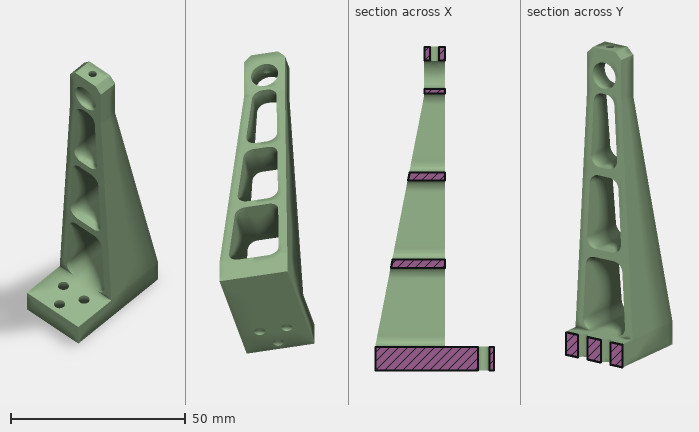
import cadquery as cq

foot_width = 20.0
foot_length = 34.0
foot_height = 7.0

total_height = 93.0
upright_depth = 20.0
head_width = 12.0
head_depth = 6.0
head_bottom = 78.7
back_slope_top = 78.4
head_chamfer = 2.0
foot_front = upright_depth - foot_length

window_count = 3
window_height = 22.5
rib_thickness = 2.5
side_wall = 2.5
window_corner_radius = 3.0

bore_diameter = 8.0
bore_height = total_height - bore_diameter
set_screw_diameter = 2.4
mount_diameter = 3.2
mount_half_spacing = 4.0
front_mount_inset = 3.0
rear_mount_inset = 9.0


def half_width(z):
    """Half width of the tapering upright at height z."""
    taper = (foot_width - head_width) / 2 / (head_bottom - foot_height)
    return foot_width / 2 - taper * (z - foot_height)


def make_foot():
    return cq.Workplane("XY").box(
        foot_width, foot_length, foot_height, centered=(True, False, False)
    ).translate((0, foot_front, 0))


def make_upright():
    """Intersect the tapered front outline with the sloping side outline."""
    half_head = head_width / 2
    front_outline = (
        cq.Workplane("XZ")
        .moveTo(-foot_width / 2, foot_height)
        .lineTo(foot_width / 2, foot_height)
        .lineTo(half_head, head_bottom)
        .lineTo(half_head, total_height - head_chamfer)
        .lineTo(half_head - head_chamfer, total_height)
        .lineTo(head_chamfer - half_head, total_height)
        .lineTo(-half_head, total_height - head_chamfer)
        .lineTo(-half_head, head_bottom)
        .close()
        .extrude(-upright_depth)
    )
    side_outline = (
        cq.Workplane("YZ")
        .moveTo(0, foot_height)
        .lineTo(upright_depth, foot_height)
        .lineTo(head_depth, back_slope_top)
        .lineTo(head_depth, total_height)
        .lineTo(0, total_height)
        .close()
        .extrude(foot_width / 2, both=True)
    )
    return front_outline.intersect(side_outline)


def make_window(bottom):
    """Rounded trapezoid cutter whose sides follow the upright taper."""
    top = bottom + window_height
    half_bottom = half_width(bottom) - side_wall
    half_top = half_width(top) - side_wall
    return (
        cq.Workplane("XZ")
        .polyline([(-half_bottom, bottom), (half_bottom, bottom), (half_top, top), (-half_top, top)])
        .close()
        .extrude(-upright_depth)
        .edges("|Y")
        .fillet(window_corner_radius)
    )


result = make_foot().union(make_upright())

for index in range(window_count):
    result = result.cut(make_window(foot_height + index * (window_height + rib_thickness)))

bore = cq.Workplane("XZ").center(0, bore_height).circle(bore_diameter / 2).extrude(-head_depth)
result = result.cut(bore)

set_screw_hole = (
    cq.Workplane("XY", origin=(0, head_depth / 2, bore_height))
    .circle(set_screw_diameter / 2)
    .extrude(total_height - bore_height)
)
result = result.cut(set_screw_hole)

mount_holes = (
    cq.Workplane("XY")
    .pushPoints([
        (0, foot_front + front_mount_inset),
        (-mount_half_spacing, foot_front + rear_mount_inset),
        (mount_half_spacing, foot_front + rear_mount_inset),
    ])
    .circle(mount_diameter / 2)
    .extrude(foot_height)
)
result = result.cut(mount_holes)